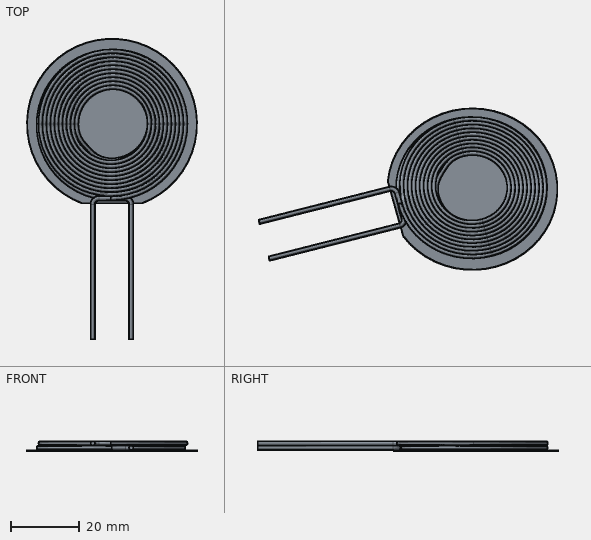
import cadquery as cq
import math

SHEET_RADIUS = 25.0
SHEET_THICKNESS = 0.35
FLAT_Y = -23.4

COIL_WIRE_DIAMETER = 1.15
LEAD_DIAMETER = 1.3

LOWER_Z = SHEET_THICKNESS + LEAD_DIAMETER / 2
UPPER_Z = LOWER_Z + LEAD_DIAMETER

OUTER_RADIUS = 21.9
LOWER_INNER_RADIUS = 10.7
RAMP_MID_RADIUS = 10.2
UPPER_INNER_RADIUS = 10.4
LOWER_TURNS = 9
UPPER_TURNS = 9.75
LOWER_PITCH = (OUTER_RADIUS - LOWER_INNER_RADIUS) / LOWER_TURNS
UPPER_PITCH = (OUTER_RADIUS - UPPER_INNER_RADIUS) / UPPER_TURNS

OVERALL_LENGTH = 88.3
LEAD_END_Y = SHEET_RADIUS - OVERALL_LENGTH
LEAD_X = 5.65
BEND_RADIUS = 1.8


def make_sheet():
    disc = cq.Workplane("XY").circle(SHEET_RADIUS).extrude(SHEET_THICKNESS)
    keep = cq.Workplane("XY").box(
        2 * SHEET_RADIUS, SHEET_RADIUS - FLAT_Y, SHEET_THICKNESS, centered=(True, False, False)
    )
    return disc.intersect(keep.translate((0, FLAT_Y, 0)))


def make_arc(center, radius, start_angle, sweep):
    """Level arc from a start angle in degrees; a negative sweep turns it clockwise."""
    points = []
    for share in (0, 0.5, 1):
        angle = math.radians(start_angle + share * sweep)
        points.append(center + cq.Vector(radius * math.cos(angle), radius * math.sin(angle), 0))
    return cq.Edge.makeThreePointArc(*points)


def lower_spiral():
    """Clockwise inward half turns from the outer end to the foot of the ramp, both on the -Y side."""
    edges = []
    for half_turn in range(2 * LOWER_TURNS):
        side = -1 if half_turn % 2 == 0 else 1
        radius = OUTER_RADIUS - (half_turn + 0.5) * LOWER_PITCH / 2
        center = cq.Vector(0, side * LOWER_PITCH / 4, LOWER_Z)
        edges.append(make_arc(center, radius, side * 90, -180))
    return edges


def ramp():
    """Clockwise quarter turn that climbs from the lower spiral to the upper one."""
    mid_reach = RAMP_MID_RADIUS * math.sqrt(0.5)
    points = [
        cq.Vector(0, -LOWER_INNER_RADIUS, LOWER_Z),
        cq.Vector(-mid_reach, -mid_reach, (LOWER_Z + UPPER_Z) / 2),
        cq.Vector(-UPPER_INNER_RADIUS, 0, UPPER_Z),
    ]
    return cq.Edge.makeSpline(points, tangents=[cq.Vector(-1, 0, 0), cq.Vector(0, 1, 0)])


def upper_spiral():
    """Clockwise outward half turns from the -X side, then a last quarter turn to the -Y side."""
    edges = []
    for half_turn in range(math.ceil(2 * UPPER_TURNS)):
        starts_left = half_turn % 2 == 0
        sweep = 360 * min(0.5, UPPER_TURNS - half_turn / 2)
        radius = UPPER_INNER_RADIUS + (half_turn + 0.5) * UPPER_PITCH / 2
        center = cq.Vector(UPPER_PITCH / 4 if starts_left else -UPPER_PITCH / 4, 0, UPPER_Z)
        edges.append(make_arc(center, radius, 180 if starts_left else 0, -sweep))
    return edges


def make_winding():
    path = cq.Wire.assembleEdges([*lower_spiral(), ramp(), *upper_spiral()])
    return sweep_round(path, COIL_WIRE_DIAMETER)


def sweep_round(path, diameter):
    """Sweep a circle of the given diameter along a center line."""
    plane = cq.Plane(origin=path.startPoint(), normal=path.tangentAt(0))
    return cq.Workplane(plane).circle(diameter / 2).sweep(cq.Workplane(obj=path))


def make_lead(start_x, side, z):
    """Straight run from the winding's end, a quarter bend and a lead toward -Y."""
    bend_x = LEAD_X - BEND_RADIUS
    bend_mid = BEND_RADIUS * math.sqrt(0.5)
    bend_center_y = -OUTER_RADIUS - BEND_RADIUS
    path = (
        cq.Workplane("XY", origin=(0, 0, z))
        .moveTo(start_x, -OUTER_RADIUS)
        .lineTo(side * bend_x, -OUTER_RADIUS)
        .threePointArc(
            (side * (bend_x + bend_mid), bend_center_y + bend_mid),
            (side * LEAD_X, bend_center_y),
        )
        .lineTo(side * LEAD_X, LEAD_END_Y)
        .wire()
        .val()
    )
    return sweep_round(path, LEAD_DIAMETER)


def make_coil():
    lower_lead = make_lead(0, 1, LOWER_Z)
    upper_lead = make_lead(-UPPER_PITCH / 4, -1, UPPER_Z)
    return make_winding().union(lower_lead).union(upper_lead)


sheet = make_sheet()
coil = make_coil()
result = cq.Compound.makeCompound([sheet.val(), *coil.vals()])